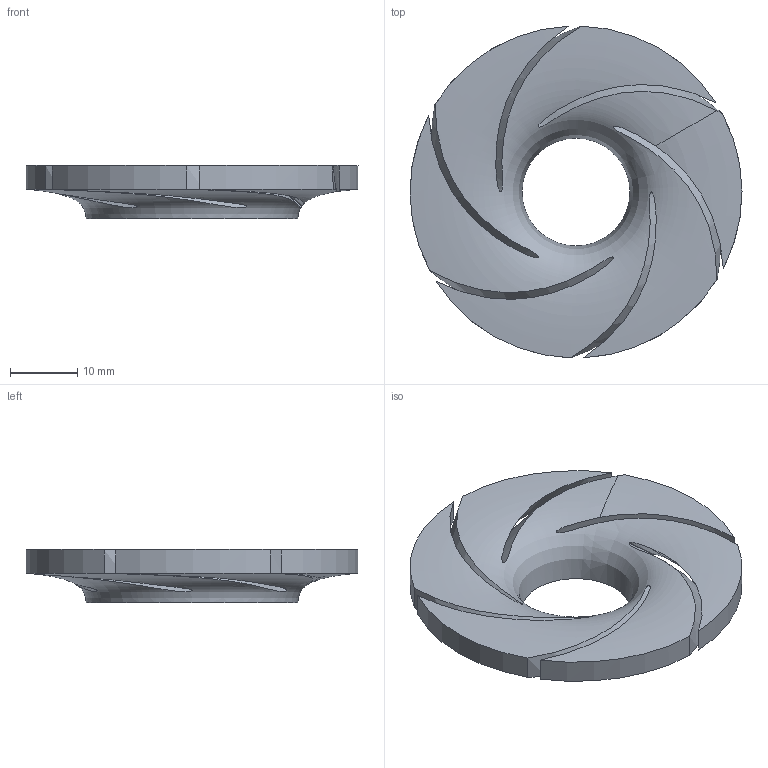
import math

import cadquery as cq

AXIS_START = cq.Vector(0, 0, 0)
AXIS_END = cq.Vector(0, 0, 1)

OUTER_RADIUS = 24.63
BORE_RADIUS = 8.0
HUB_RADIUS = 15.7
RIM_TOP = 7.87
RIM_BOTTOM = 4.4

TOP_FLARE_HEIGHT = 7.6
TOP_FLARE_SHOULDER = (13.5, 8.4)
BOTTOM_FLARE_HEIGHT = 2.5
BOTTOM_FLARE_SHOULDER = (17.75, 3.9)

SLOT_COUNT = 6
SLOT_PITCH = 360 / SLOT_COUNT
SLOT_WIDTH = 1.0
SLOT_SWEEP = math.radians(90)
NOSE_TRAVEL = 0.13
LINEAR_SHARE = 0.16
TOP_START_RADIUS = 11.2
TOP_START_HEIGHT = 6.5
TOP_END_HEIGHT = 8.0
BOTTOM_START_RADIUS = 16.2
BOTTOM_START_HEIGHT = 1.9
CLIMB_POWER = 3

OVERCUT = 0.5
RIM_OVERRUN = 0.06

NOSE_STEPS = 5
WALL_STEPS = 12
DERIVATIVE_STEP = 1e-4


def make_ring():
    profile = (
        cq.Workplane("XZ")
        .moveTo(BORE_RADIUS, 0)
        .bezier(
            [
                (BORE_RADIUS, 0),
                (BORE_RADIUS, TOP_FLARE_HEIGHT),
                TOP_FLARE_SHOULDER,
                (OUTER_RADIUS, RIM_TOP),
            ]
        )
        .lineTo(OUTER_RADIUS, RIM_BOTTOM)
        .bezier(
            [
                (OUTER_RADIUS, RIM_BOTTOM),
                BOTTOM_FLARE_SHOULDER,
                (HUB_RADIUS, BOTTOM_FLARE_HEIGHT),
                (HUB_RADIUS, 0),
            ]
        )
        .close()
    )
    ring = profile.revolve(360, (0, 0, 0), (0, 1, 0))
    return ring.rotate(AXIS_START, AXIS_END, SLOT_PITCH / 2)


def blend(start, end, share):
    return start + (end - start) * share


def center_point(travel):
    """Plan position on the slot's top centre line; travel runs from 0 at the tip to 1 at the rim."""
    progress = blend(travel**2, travel, LINEAR_SHARE)
    radius = blend(TOP_START_RADIUS, OUTER_RADIUS, progress)
    angle = -SLOT_SWEEP * travel
    return cq.Vector(radius * math.cos(angle), radius * math.sin(angle))


def ruling_point(plan_point, depth):
    """Point on the wall line through plan_point; depth is 0 at the top face and 1 at the bottom face."""
    top_radius = plan_point.Length
    progress = (top_radius - TOP_START_RADIUS) / (OUTER_RADIUS - TOP_START_RADIUS)
    climb = 1 - (1 - progress) ** CLIMB_POWER
    bottom_radius = blend(BOTTOM_START_RADIUS, OUTER_RADIUS, progress)
    top_height = blend(TOP_START_HEIGHT, TOP_END_HEIGHT, climb)
    bottom_height = blend(BOTTOM_START_HEIGHT, RIM_BOTTOM, climb)
    outward = plan_point.normalized() * blend(top_radius, bottom_radius, depth)
    return outward + cq.Vector(0, 0, blend(top_height, bottom_height, depth))


def wall_point(travel, depth, side):
    """Point on one slot wall; side is +1 or -1, and the two walls meet at the tip of the nose."""
    here = center_point(travel)
    along = (center_point(travel + DERIVATIVE_STEP) - here).normalized()
    across = cq.Vector(-along.y, along.x)
    to_nose_end = max(0, 1 - travel / NOSE_TRAVEL)
    half_width = SLOT_WIDTH / 2 * math.sqrt(1 - to_nose_end**2)
    return ruling_point(here + across * (side * half_width), depth)


def wall_curve(depth, side):
    quarter_turn = math.pi / 2
    nose = [NOSE_TRAVEL * (1 - math.cos(quarter_turn * i / NOSE_STEPS)) for i in range(NOSE_STEPS)]
    end = 1 + RIM_OVERRUN
    wall = [blend(NOSE_TRAVEL, end, i / WALL_STEPS) for i in range(WALL_STEPS + 1)]
    return cq.Edge.makeSpline([wall_point(travel, depth, side) for travel in nose + wall])


def make_slot_cutter():
    above = -OVERCUT
    below = 1 + OVERCUT
    top_left = wall_curve(above, 1)
    top_right = wall_curve(above, -1)
    bottom_left = wall_curve(below, 1)
    bottom_right = wall_curve(below, -1)
    top_end = cq.Edge.makeLine(top_left.endPoint(), top_right.endPoint())
    bottom_end = cq.Edge.makeLine(bottom_left.endPoint(), bottom_right.endPoint())
    edge_pairs = [
        (top_left, top_right),
        (bottom_left, bottom_right),
        (top_left, bottom_left),
        (top_right, bottom_right),
        (top_end, bottom_end),
    ]
    faces = [cq.Face.makeRuledSurface(first, second) for first, second in edge_pairs]
    return cq.Solid.makeSolid(cq.Shell.makeShell(faces)).fix()


def cut_slots(ring):
    cutter = make_slot_cutter()
    for index in range(SLOT_COUNT):
        turned_cutter = cutter.rotate(AXIS_START, AXIS_END, SLOT_PITCH * index)
        ring = ring.cut(cq.Workplane(turned_cutter))
    return ring


result = cut_slots(make_ring()).solids()